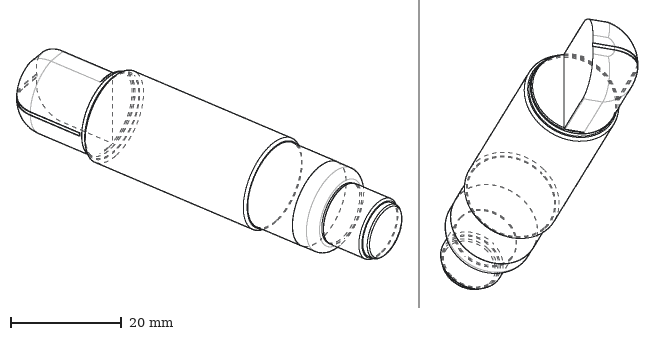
import cadquery as cq

STEP_FACE = 17.0
COLLAR_START = 17.5
BODY_START = 18.35
BODY_END = 54.65
SLEEVE_END = 64.6
CAP_END = 69.4
PLUG_START = 69.8
PLUG_END = 78.15
TOTAL_LENGTH = 79.45

COLLAR_RADIUS = 8.25
BODY_RADIUS = 9.0
SLEEVE_RADIUS = 8.3
CAP_RADIUS = 8.25
NECK_RADIUS = 5.85
PLUG_RADIUS = 5.95
PILOT_RADIUS = 5.3

STEP_CHAMFER = 0.2
BODY_CHAMFER = 0.5
CAP_FILLET = 1.7
PLUG_CHAMFER = 0.4
PILOT_CHAMFER = 0.3

NOSE_RADIUS = 8.2
NOSE_HALF_HEIGHT = 8.0
NOSE_FILLET = 6.0
NOSE_BACK_Y = 2.0

GROOVE_WIDTH = 0.7
GROOVE_DEPTH = 0.1


def cylinder(start, end, radius):
    """Round bar along X between two stations."""
    return cq.Workplane("YZ").workplane(offset=start).circle(radius).extrude(end - start)


def nose_block(y_start, y_end, height):
    """Rectangular block as long as the nose, spanning the given Y range, centred on Z."""
    block = cq.Workplane("XY").box(STEP_FACE, y_end - y_start, height, centered=(False, False, True))
    return block.translate((0, y_start, 0))


def nose_form(radius):
    """Bar with flats and a rounded end; the rounding is domed only on the -Y side."""
    domed_bar = cylinder(0, STEP_FACE, radius).faces("<X").edges().fillet(NOSE_FILLET)
    domed_half = domed_bar.cut(nose_block(0, BODY_RADIUS, 2 * BODY_RADIUS))
    back_slice = cylinder(0, STEP_FACE, radius).intersect(
        nose_block(0, NOSE_BACK_Y, 2 * BODY_RADIUS)
    )
    rounded_slab = (
        nose_block(-BODY_RADIUS, BODY_RADIUS, 2 * NOSE_HALF_HEIGHT)
        .edges("<X and |Y")
        .fillet(NOSE_FILLET)
    )
    return domed_half.union(back_slice).intersect(rounded_slab)


def make_nose():
    """Nose with the lengthwise groove, its floor following the nose surface."""
    groove_floor = nose_form(NOSE_RADIUS - GROOVE_DEPTH).translate((GROOVE_DEPTH, 0, 0))
    groove = nose_block(-BODY_RADIUS, NOSE_BACK_Y, GROOVE_WIDTH).cut(groove_floor)
    return nose_form(NOSE_RADIUS).cut(groove)


def make_step():
    """Disc between nose and collar, chamfered on the side left open behind the nose."""
    disc = cylinder(STEP_FACE, COLLAR_START, NOSE_RADIUS)
    chamfered_disc = disc.faces("<X").edges().chamfer(STEP_CHAMFER)
    nose_side = nose_block(-BODY_RADIUS, NOSE_BACK_Y, 2 * BODY_RADIUS).translate((STEP_FACE, 0, 0))
    return chamfered_disc.union(disc.intersect(nose_side))


def make_shaft():
    """Collar, body, sleeve, cap, neck, plug and pilot in line along X."""
    collar = cylinder(COLLAR_START, BODY_START, COLLAR_RADIUS)
    body = cylinder(BODY_START, BODY_END, BODY_RADIUS).faces("<X or >X").edges().chamfer(BODY_CHAMFER)
    sleeve = cylinder(BODY_END, SLEEVE_END, SLEEVE_RADIUS)
    cap = cylinder(SLEEVE_END, CAP_END, CAP_RADIUS).faces(">X").edges().fillet(CAP_FILLET)
    neck = cylinder(CAP_END, PLUG_START, NECK_RADIUS)
    plug = cylinder(PLUG_START, PLUG_END, PLUG_RADIUS).faces(">X").edges().chamfer(PLUG_CHAMFER)
    pilot = cylinder(PLUG_END, TOTAL_LENGTH, PILOT_RADIUS).faces(">X").edges().chamfer(PILOT_CHAMFER)
    shaft = collar
    for section in (body, sleeve, cap, neck, plug, pilot):
        shaft = shaft.union(section)
    return shaft


result = make_shaft().union(make_step()).union(make_nose())